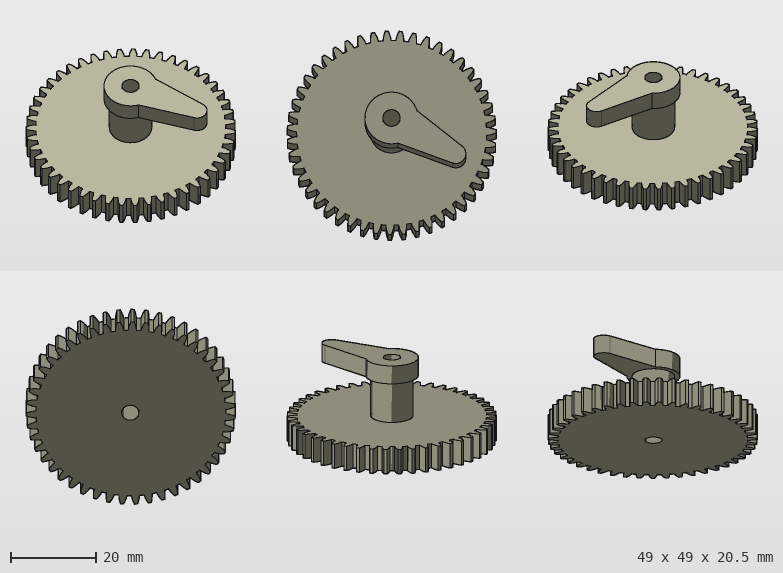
import cadquery as cq
import math

outer_diameter = 49.0
gear_height = 6.05
tooth_count = 47
dedendum_ratio = 1.25
tooth_phase = -0.65
tooth_root_width = 1.9
tooth_pitch_width = 1.45
tooth_tip_width = 0.75

module = outer_diameter / (tooth_count + 2)
pitch_radius = module * tooth_count / 2
outer_radius = pitch_radius + module
root_radius = pitch_radius - dedendum_ratio * module

shaft_x = -0.15
shaft_y = 0.05
shaft_diameter = 10.0
shaft_height = 10.0
bore_diameter = 4.0

lever_thickness = 4.45
hub_diameter = 12.45
arm_length = 17.35
arm_angle = 22.4
arm_root_radius = 5.15
arm_tip_radius = 2.35

lever_bottom = gear_height + shaft_height
total_height = lever_bottom + lever_thickness


def polar(radius, angle):
    """Point at a radius and an angle in radians."""
    return (radius * math.cos(angle), radius * math.sin(angle))


def half_angle(width, radius):
    """Half of the angle that a tooth of this width covers at a radius."""
    return math.asin(width / 2 / radius)


def make_gear():
    first_centre = math.radians(tooth_phase)
    tooth_step = 2 * math.pi / tooth_count
    root_half = half_angle(tooth_root_width, root_radius)
    pitch_half = half_angle(tooth_pitch_width, pitch_radius)
    tip_half = half_angle(tooth_tip_width, outer_radius)

    outline = cq.Workplane("XY").moveTo(*polar(root_radius, first_centre - root_half))
    for tooth in range(tooth_count):
        centre = first_centre + tooth * tooth_step
        next_centre = centre + tooth_step
        gap_centre = centre + tooth_step / 2
        outline = (
            outline
            .threePointArc(polar(pitch_radius, centre - pitch_half), polar(outer_radius, centre - tip_half))
            .threePointArc(polar(outer_radius, centre), polar(outer_radius, centre + tip_half))
            .threePointArc(polar(pitch_radius, centre + pitch_half), polar(root_radius, centre + root_half))
            .threePointArc(polar(root_radius, gap_centre), polar(root_radius, next_centre - root_half))
        )
    return outline.close().extrude(gear_height)


def make_shaft():
    return cq.Workplane("XY").circle(shaft_diameter / 2).extrude(lever_bottom)


def make_lever():
    hub = cq.Workplane("XY").circle(hub_diameter / 2).extrude(lever_thickness)

    side_normal = math.acos((arm_root_radius - arm_tip_radius) / arm_length)
    root_x, root_y = polar(arm_root_radius, side_normal)
    tip_x, tip_y = polar(arm_tip_radius, side_normal)
    arm = (
        cq.Workplane("XY")
        .moveTo(root_x, -root_y)
        .lineTo(arm_length + tip_x, -tip_y)
        .threePointArc((arm_length + arm_tip_radius, 0), (arm_length + tip_x, tip_y))
        .lineTo(root_x, root_y)
        .close()
        .extrude(lever_thickness)
        .rotate((0, 0, 0), (0, 0, 1), arm_angle)
    )
    return hub.union(arm).translate((0, 0, lever_bottom))


def make_bore():
    return cq.Workplane("XY").circle(bore_diameter / 2).extrude(total_height)


shaft_position = (shaft_x, shaft_y, 0)
shaft_and_lever = make_shaft().union(make_lever()).translate(shaft_position)
bore = make_bore().translate(shaft_position)

result = make_gear().union(shaft_and_lever).cut(bore)